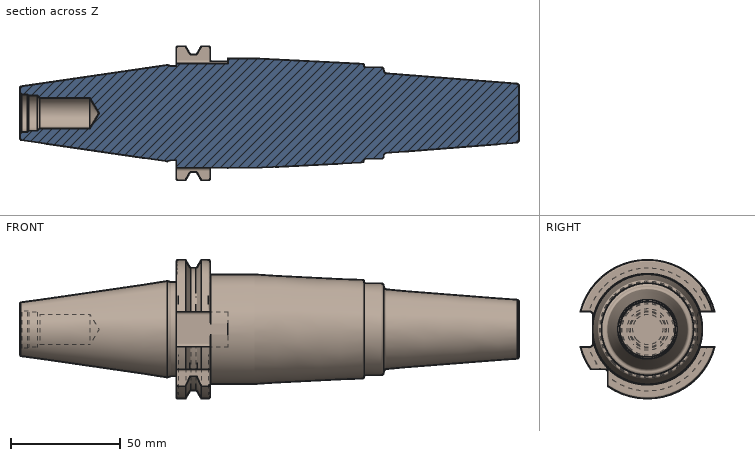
import cadquery as cq
import math


gauge_radius = 44.45 / 2
taper_per_length = 7 / 48
shank_length = 68.25
shank_end_chamfer = 0.5
taper_end = -0.8
neck_radius = 21.6
neck_start = 0.8

flange_radius = 63.51 / 2
flange_front = 3.2
flange_rear = 18.8
flange_edge_radius = 1.0
groove_center = 11.1
groove_half_width = 3.6
groove_half_angle = math.radians(30)
groove_floor_radius = 28.1
groove_floor_fillet = 0.6

sleeve_radius = 25.125
sleeve_root_fillet = 0.3
sleeve_cylinder_end = 39.0
sleeve_end = 89.15
sleeve_end_radius = 22.6
sleeve_edge_fillet = 0.9

collar_radius = 21.05
collar_end = 98.2
collar_root_fillet = 0.55
collar_edge_fillet = 1.4
nose_end = 160.0
nose_end_radius = 13.5
nose_half_angle = math.radians(4.5)
nose_root_fillet = 1.25
nose_edge_chamfer = 0.8

slot_width = 16.13
slot_end = 26.8
slot_corner_radius = 1.5
front_slot_floor = 25.0
back_slot_floor = 22.8
notch_y = -18.2
notch_z = -18.4
notch_corner_radius = 1.0

countersink_radius = 9.5
pilot_radius = 8.5
pilot_depth = 3.5
thread_radius = 8.0
thread_depth = 8.0
thread_core_radius = 6.9
thread_core_depth = 32.0
drill_half_angle = math.radians(59)


def fillet_circle(body, x, circle_radius, fillet_radius):
    """Round the circular edge of the given radius that lies in the plane at x."""
    margin = 0.05
    reach = circle_radius + margin
    slab = cq.selectors.BoxSelector(
        (x - margin, -reach, -reach), (x + margin, reach, reach), boundingbox=True
    )
    widest = cq.selectors.RadiusNthSelector(-1)
    return body.edges(slab).edges(widest).fillet(fillet_radius)


def make_shank_and_flange():
    shank_end_radius = gauge_radius - shank_length * taper_per_length
    profile = (
        cq.Workplane("XY")
        .moveTo(-shank_length, 0)
        .lineTo(-shank_length, shank_end_radius)
        .lineTo(taper_end, gauge_radius + taper_end * taper_per_length)
        .lineTo(neck_start, neck_radius)
        .lineTo(flange_front, neck_radius)
        .lineTo(flange_front, flange_radius)
        .lineTo(flange_rear, flange_radius)
        .lineTo(flange_rear, 0)
        .close()
    )
    body = profile.revolve(360, (0, 0, 0), (1, 0, 0))
    body = body.faces("<X").edges().chamfer(shank_end_chamfer)
    for x in (flange_front, flange_rear):
        body = fillet_circle(body, x, flange_radius, flange_edge_radius)
    return body


def make_groove():
    """Ring that cuts the V-groove, with rounded corners at its floor."""
    depth = flange_radius - groove_floor_radius
    floor_half_width = groove_half_width - depth * math.tan(groove_half_angle)
    ring = (
        cq.Workplane("XY")
        .moveTo(groove_center - groove_half_width, flange_radius)
        .lineTo(groove_center - floor_half_width, groove_floor_radius)
        .lineTo(groove_center + floor_half_width, groove_floor_radius)
        .lineTo(groove_center + groove_half_width, flange_radius)
        .close()
        .revolve(360, (0, 0, 0), (1, 0, 0))
    )
    floor_edges = cq.selectors.RadiusNthSelector(0)
    return ring.edges(floor_edges).fillet(groove_floor_fillet)


def make_sleeve_and_nose():
    nose_root_radius = nose_end_radius + (nose_end - collar_end) * math.tan(nose_half_angle)
    profile = (
        cq.Workplane("XY")
        .moveTo(flange_rear, 0)
        .lineTo(flange_rear, sleeve_radius)
        .lineTo(sleeve_cylinder_end, sleeve_radius)
        .lineTo(sleeve_end, sleeve_end_radius)
        .lineTo(sleeve_end, collar_radius)
        .lineTo(collar_end, collar_radius)
        .lineTo(collar_end, nose_root_radius)
        .lineTo(nose_end, nose_end_radius)
        .lineTo(nose_end, 0)
        .close()
    )
    body = profile.revolve(360, (0, 0, 0), (1, 0, 0))
    body = body.faces(">X").edges().chamfer(nose_edge_chamfer)
    fillets = [
        (sleeve_end, sleeve_end_radius, sleeve_edge_fillet),
        (sleeve_end, collar_radius, collar_root_fillet),
        (collar_end, collar_radius, collar_edge_fillet),
        (collar_end, nose_root_radius, nose_root_fillet),
    ]
    for x, circle_radius, fillet_radius in fillets:
        body = fillet_circle(body, x, circle_radius, fillet_radius)
    return body


def make_slot(side, floor_distance):
    """Cutter for one drive slot: side is -1 or +1 along Y; its floor lies floor_distance from the axis."""
    height = flange_radius - floor_distance
    return (
        cq.Workplane("XY")
        .box(slot_end - flange_front, height, slot_width, centered=(False, False, True))
        .edges("|X and <Y")
        .fillet(slot_corner_radius)
        .translate((flange_front, floor_distance, 0))
        .rotate((0, 0, 0), (1, 0, 0), 0 if side > 0 else 180)
    )


def make_notch():
    """Cutter for the corner notch on the -Y, -Z part of the flange; notch_y and notch_z are its walls."""
    return (
        cq.Workplane("XY")
        .box(flange_rear - flange_front, flange_radius, flange_radius, centered=False)
        .edges("|X and >Y and >Z")
        .fillet(notch_corner_radius)
        .translate((flange_front, notch_y - flange_radius, notch_z - flange_radius))
    )


def make_pull_stud_hole():
    """Stepped blind hole in the small end of the shank, with a drill point."""
    countersink_depth = countersink_radius - pilot_radius
    pilot_step = pilot_radius - thread_radius
    thread_step = thread_radius - thread_core_radius
    point_length = thread_core_radius / math.tan(drill_half_angle)
    return (
        cq.Workplane("XY")
        .moveTo(0, 0)
        .lineTo(0, countersink_radius)
        .lineTo(countersink_depth, pilot_radius)
        .lineTo(pilot_depth, pilot_radius)
        .lineTo(pilot_depth + pilot_step, thread_radius)
        .lineTo(thread_depth, thread_radius)
        .lineTo(thread_depth + thread_step, thread_core_radius)
        .lineTo(thread_core_depth, thread_core_radius)
        .lineTo(thread_core_depth + point_length, 0)
        .close()
        .revolve(360, (0, 0, 0), (1, 0, 0))
        .translate((-shank_length, 0, 0))
    )


holder = make_shank_and_flange().cut(make_groove()).union(make_sleeve_and_nose())
holder = fillet_circle(holder, flange_rear, sleeve_radius, sleeve_root_fillet)
result = (
    holder.cut(make_slot(-1, front_slot_floor))
    .cut(make_slot(1, back_slot_floor))
    .cut(make_notch())
    .cut(make_pull_stud_hole())
)